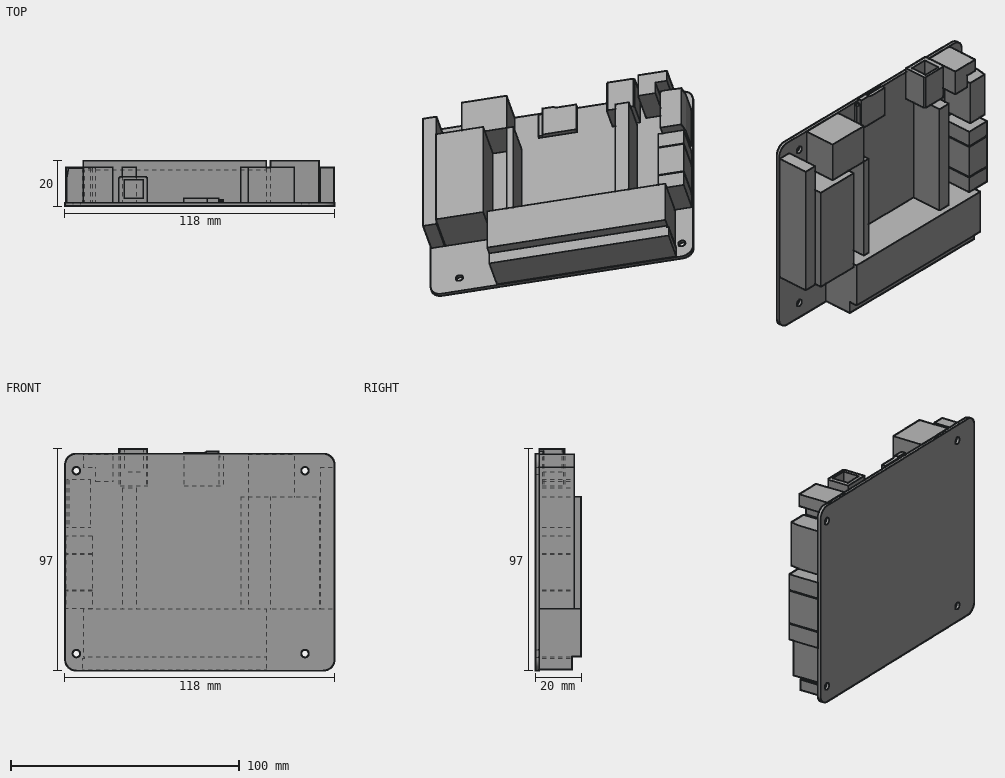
import cadquery as cq

BOARD_WIDTH = 118.0
BOARD_HEIGHT = 95.0
BOARD_THICKNESS = 1.6
BOARD_CORNER_RADIUS = 5.0
HOLE_DIAMETER = 3.2
HOLE_FIRST_X = 5.0
HOLE_FIRST_Z = 7.5
HOLE_SPACING_X = 100.0
HOLE_SPACING_Z = 80.0

TALL_LEVEL = 20.0
CONNECTOR_LEVEL = 17.0
HEADER_LEVEL = 16.0

WIDE_BLOCK_X = (8.0, 88.1)
WIDE_BLOCK_Z = (6.2, 27.1)
UPRIGHT_BLOCK_X = (89.9, 111.2)
UPRIGHT_BLOCK_TOP = 76.2

HEADER_LEFT = 7.5
RIDGE_LEFT = 8.4
HEADER_Z = (0.45, 5.5)

TERMINAL_X = (0.45, 12.0)
TERMINAL_SPANS_Z = ((27.4, 35.0), (35.4, 51.0), (51.4, 59.0))

SLOPED_X = (0.7, 11.0)
SLOPED_Z = (62.8, 83.8)
SLOPED_LEVEL = 16.7
SLOPE_START_Y = 11.9
SLOPE_INSET = 0.9

TOP_CONNECTOR_GAP = 0.2
TOP_CONNECTOR_Z = BOARD_HEIGHT - TOP_CONNECTOR_GAP

HEAD_X = (8.0, 21.0)
HEAD_BOTTOM = 89.0
SHANK_LEFT = 13.2
SHANK_BOTTOM = 82.9

TOP_RIGHT_X = (80.1, 100.3)
TOP_RIGHT_BOTTOM = UPRIGHT_BLOCK_TOP

INNER_STRIP_X = (25.1, 31.2)
MIDDLE_STRIP_X = (77.0, TOP_RIGHT_X[0])
RIGHT_STRIP_X = (111.6, 117.7)
INNER_STRIP_TOP = 80.0
MIDDLE_STRIP_TOP = UPRIGHT_BLOCK_TOP
RIGHT_STRIP_TOP = 89.0

SOCKET_X = (23.6, 36.1)
SOCKET_Z = (81.0, 97.0)
SOCKET_LEVEL = 12.8
SOCKET_CHAMFER = 0.6
OPENING_X = (25.9, 34.2)
OPENING_Y = (3.4, 11.5)
OPENING_DEPTH = 10.0

CARD_X = (52.0, 67.2)
CARD_BOTTOM = 81.0
CARD_LEVEL = 3.6
CARD_LOW_TOP = 95.35
CARD_HIGH_TOP = 96.0
CARD_STEP_X = (60.4, 62.2)
CARD_STEP_SAG = 0.2

TAB_RIGHT = 69.2
TAB_LEVEL = 2.9
TAB_SHOULDER_LEVEL = 2.1
TAB_TOP = 94.0
TAB_SLOPE_HEIGHT = 0.5


def box(x_span, y_span, z_span):
    """Box between the given pairs of limits."""
    size = [end - start for start, end in (x_span, y_span, z_span)]
    corner = (x_span[0], y_span[0], z_span[0])
    return cq.Workplane("XY").box(*size, centered=False).translate(corner)


def component(x_span, level, z_span):
    """Box rooted in the board and reaching out to the given level."""
    return box(x_span, (0, level), z_span)


def make_board():
    board = box((0, BOARD_WIDTH), (0, BOARD_THICKNESS), (0, BOARD_HEIGHT))
    return board.edges("|Y").fillet(BOARD_CORNER_RADIUS)


def make_mounting_holes():
    centres = [
        (HOLE_FIRST_X + i * HOLE_SPACING_X, HOLE_FIRST_Z + j * HOLE_SPACING_Z)
        for i in range(2)
        for j in range(2)
    ]
    holes = cq.Workplane("XZ").pushPoints(centres).circle(HOLE_DIAMETER / 2)
    return holes.extrude(-BOARD_THICKNESS)


def make_tall_blocks():
    wide = component(WIDE_BLOCK_X, TALL_LEVEL, WIDE_BLOCK_Z)
    upright = component(UPRIGHT_BLOCK_X, TALL_LEVEL, (WIDE_BLOCK_Z[1], UPRIGHT_BLOCK_TOP))
    return [wide, upright]


def make_header():
    base = component((HEADER_LEFT, WIDE_BLOCK_X[1]), HEADER_LEVEL, HEADER_Z)
    ridge = component((RIDGE_LEFT, WIDE_BLOCK_X[1]), HEADER_LEVEL, (HEADER_Z[1], WIDE_BLOCK_Z[0]))
    return [base, ridge]


def make_terminals():
    return [component(TERMINAL_X, CONNECTOR_LEVEL, span) for span in TERMINAL_SPANS_Z]


def make_sloped_connector():
    left, right = SLOPED_X
    bottom, top = SLOPED_Z
    outline = [
        (left, 0),
        (right, 0),
        (right, SLOPED_LEVEL),
        (left + SLOPE_INSET, SLOPED_LEVEL),
        (left, SLOPE_START_Y),
    ]
    body = cq.Workplane("XY").workplane(offset=bottom).polyline(outline).close()
    return body.extrude(top - bottom)


def make_top_connectors():
    head = component(HEAD_X, CONNECTOR_LEVEL, (HEAD_BOTTOM, TOP_CONNECTOR_Z))
    shank = component((SHANK_LEFT, HEAD_X[1]), CONNECTOR_LEVEL, (SHANK_BOTTOM, HEAD_BOTTOM))
    top_right = component(TOP_RIGHT_X, CONNECTOR_LEVEL, (TOP_RIGHT_BOTTOM, TOP_CONNECTOR_Z))
    return [head, shank, top_right]


def make_strips():
    bottom = WIDE_BLOCK_Z[1]
    inner = component(INNER_STRIP_X, CONNECTOR_LEVEL, (bottom, INNER_STRIP_TOP))
    middle = component(MIDDLE_STRIP_X, CONNECTOR_LEVEL, (bottom, MIDDLE_STRIP_TOP))
    right = component(RIGHT_STRIP_X, CONNECTOR_LEVEL, (bottom, RIGHT_STRIP_TOP))
    return [inner, middle, right]


def make_socket():
    shell = box(SOCKET_X, (BOARD_THICKNESS, SOCKET_LEVEL), SOCKET_Z)
    shell = shell.edges("|Z and >Y").chamfer(SOCKET_CHAMFER)
    opening = box(OPENING_X, OPENING_Y, (SOCKET_Z[1] - OPENING_DEPTH, SOCKET_Z[1]))
    return shell.cut(opening)


def make_card():
    left, right = CARD_X
    step_start, step_end = CARD_STEP_X
    step_middle = (
        (step_start + step_end) / 2,
        (CARD_LOW_TOP + CARD_HIGH_TOP) / 2 - CARD_STEP_SAG,
    )
    outline = (
        cq.Workplane("XZ", origin=(0, BOARD_THICKNESS, 0))
        .moveTo(left, CARD_BOTTOM)
        .lineTo(left, CARD_LOW_TOP)
        .lineTo(step_start, CARD_LOW_TOP)
        .threePointArc(step_middle, (step_end, CARD_HIGH_TOP))
        .lineTo(right, CARD_HIGH_TOP)
        .lineTo(right, CARD_BOTTOM)
        .close()
    )
    return outline.extrude(BOARD_THICKNESS - CARD_LEVEL)


def make_card_tab():
    start = CARD_X[1]
    outline = [
        (0, CARD_BOTTOM),
        (TAB_LEVEL, CARD_BOTTOM),
        (TAB_LEVEL, TAB_TOP - TAB_SLOPE_HEIGHT),
        (TAB_SHOULDER_LEVEL, TAB_TOP),
        (0, TAB_TOP),
    ]
    tab = cq.Workplane("YZ").workplane(offset=start).polyline(outline).close()
    return tab.extrude(TAB_RIGHT - start)


components = [
    *make_tall_blocks(),
    *make_header(),
    *make_terminals(),
    make_sloped_connector(),
    *make_top_connectors(),
    *make_strips(),
    make_socket(),
    make_card(),
    make_card_tab(),
]

result = make_board()
for item in components:
    result = result.union(item)
result = result.cut(make_mounting_holes())